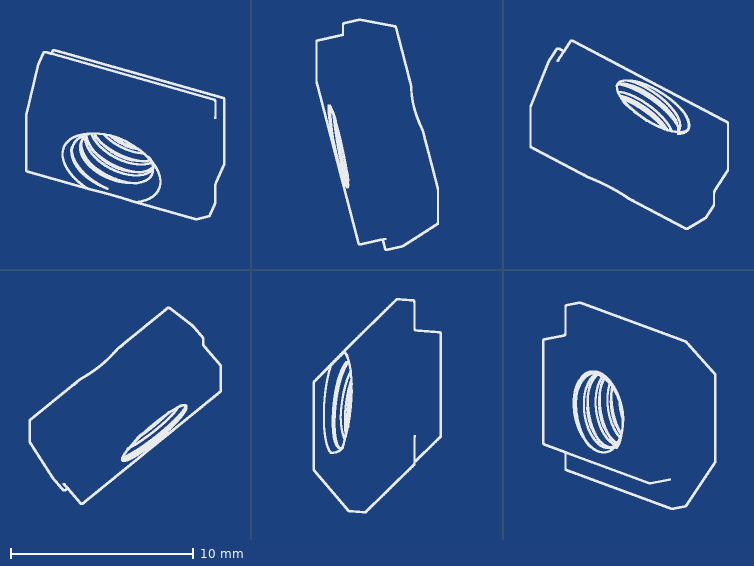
import cadquery as cq
import math

length = 10.0
depth = 4.5
height = 9.4
front_face_height = 5.0
stem_height = 6.0
taper_depth = 2.0
flange_back = 3.0
edge_radius = 0.1

minor_radius = 2.1
major_radius = 2.5
countersink_radius = 2.85
pitch = 0.8
root_width = 0.1
flank_angle = 30.0
root_exit_angle = 8.0
cutter_overlap = 0.05
lead_in_turns = 2

front_y = -depth / 2
back_y = depth / 2


def make_body():
    upper_half = [
        (front_y, front_face_height / 2),
        (front_y + taper_depth, height / 2),
        (front_y + flange_back, height / 2),
        (front_y + flange_back, stem_height / 2),
        (back_y, stem_height / 2),
    ]
    lower_half = [(y, -z) for y, z in reversed(upper_half)]
    section = cq.Workplane("YZ").polyline(upper_half + lower_half).close()
    return section.extrude(length / 2, both=True).edges().fillet(edge_radius)


def make_bore():
    """Minor bore and countersink, revolved around the Y axis."""
    countersink_depth = countersink_radius - minor_radius
    outline = [
        (front_y, 0),
        (front_y, -countersink_radius),
        (front_y + countersink_depth, -minor_radius),
        (back_y, -minor_radius),
        (back_y, 0),
    ]
    return cq.Workplane("YZ").polyline(outline).close().revolve(360, (0, 0), (1, 0))


def make_thread_groove():
    """Right-hand trapezoidal groove, built along Z and then turned to run along +Y."""
    inner_radius = minor_radius - cutter_overlap
    half_root = root_width / 2
    half_mouth = half_root + (major_radius - inner_radius) * math.tan(math.radians(flank_angle))
    groove_length = depth + 2 * lead_in_turns * pitch
    helix = cq.Wire.makeHelix(pitch, groove_length, minor_radius)
    profile = [
        (inner_radius, -half_mouth),
        (major_radius, -half_root),
        (major_radius, half_root),
        (inner_radius, half_mouth),
    ]
    groove = cq.Workplane("XZ").polyline(profile).close().sweep(cq.Workplane(helix), isFrenet=True)

    root_exit_y = front_y + countersink_radius - major_radius
    start_y = root_exit_y - half_root - lead_in_turns * pitch
    groove = groove.rotate((0, 0, 0), (1, 0, 0), -90)
    groove = groove.rotate((0, 0, 0), (0, 1, 0), 90 + root_exit_angle)
    return groove.translate((0, start_y, 0))


result = make_body().cut(make_thread_groove(), clean=False).cut(make_bore(), clean=False)